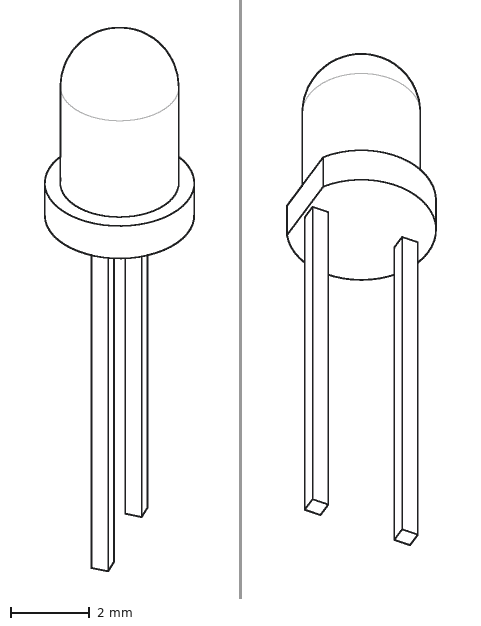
import cadquery as cq

TOTAL_HEIGHT = 15.5
LEAD_LENGTH = 10.0
LEAD_WIDTH = 0.45
LEAD_PITCH = 2.54

FLANGE_DIAMETER = 3.8
FLANGE_HEIGHT = 1.0
FLAT_OFFSET = 1.6

LENS_RADIUS = 1.5
LENS_HEIGHT = TOTAL_HEIGHT - LEAD_LENGTH
DOME_BASE = LENS_HEIGHT - LENS_RADIUS


def make_flange():
    """Round flange cut off by a flat on the +Y side."""
    disc = cq.Workplane("XY").circle(FLANGE_DIAMETER / 2).extrude(FLANGE_HEIGHT)
    beyond_flat = (
        cq.Workplane("XY")
        .box(FLANGE_DIAMETER, FLANGE_DIAMETER, FLANGE_HEIGHT, centered=(True, False, False))
        .translate((0, FLAT_OFFSET, 0))
    )
    return disc.cut(beyond_flat)


def make_lens():
    """Cylinder with a hemispherical top, joined to the flange."""
    barrel = cq.Workplane("XY").circle(LENS_RADIUS).extrude(DOME_BASE)
    dome = cq.Workplane("XY").sphere(LENS_RADIUS).translate((0, 0, DOME_BASE))
    return make_flange().union(barrel).union(dome)


def make_lead(y):
    """Square lead hanging from the underside of the flange."""
    return (
        cq.Workplane("XY")
        .center(0, y)
        .rect(LEAD_WIDTH, LEAD_WIDTH)
        .extrude(-LEAD_LENGTH)
    )


lens = make_lens()
leads = [make_lead(side * LEAD_PITCH / 2) for side in (-1, 1)]

result = cq.Compound.makeCompound([lens.val(), *[lead.val() for lead in leads]])